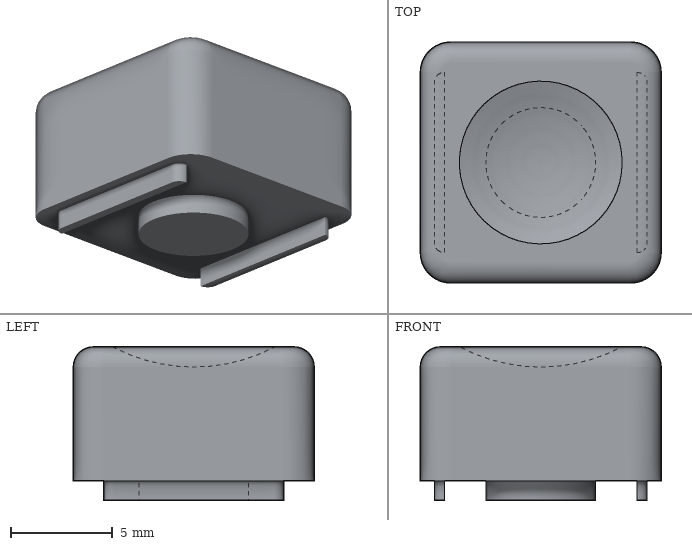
import cadquery as cq

body_side = 11.85
body_height = 6.6
corner_radius = 1.5
top_edge_radius = 1.0

dish_diameter = 8.0
dish_depth = 1.0

total_height = 7.55
foot_height = total_height - body_height
boss_diameter = 5.4
rib_width = 0.5
rib_inset = 0.7
rib_length = body_side - 2 * corner_radius
rib_corner_radius = 0.48


def make_body():
    """Block with rounded upright corners and a rounded top rim."""
    block = cq.Workplane("XY").box(body_side, body_side, body_height, centered=(True, True, False))
    return block.edges("|Z").fillet(corner_radius).faces(">Z").edges().fillet(top_edge_radius)


def make_dish():
    """Sphere whose lowest cap forms the dish."""
    rim_radius = dish_diameter / 2
    sphere_radius = (rim_radius**2 + dish_depth**2) / (2 * dish_depth)
    center_height = body_height - dish_depth + sphere_radius
    return cq.Workplane("XY").sphere(sphere_radius).translate((0, 0, center_height))


def make_boss():
    """Round boss centred under the body."""
    return cq.Workplane("XY").circle(boss_diameter / 2).extrude(-foot_height)


def make_rib(side):
    """Thin rib along Y with rounded outer corners; side is -1 (left) or +1 (right)."""
    center_x = side * (body_side / 2 - rib_inset - rib_width / 2)
    outer_edges = "|Z and >X" if side > 0 else "|Z and <X"
    rib = cq.Workplane("XY").rect(rib_width, rib_length).extrude(-foot_height)
    return rib.edges(outer_edges).fillet(rib_corner_radius).translate((center_x, 0, 0))


result = make_body().cut(make_dish()).union(make_boss())
for side in (-1, 1):
    result = result.union(make_rib(side))